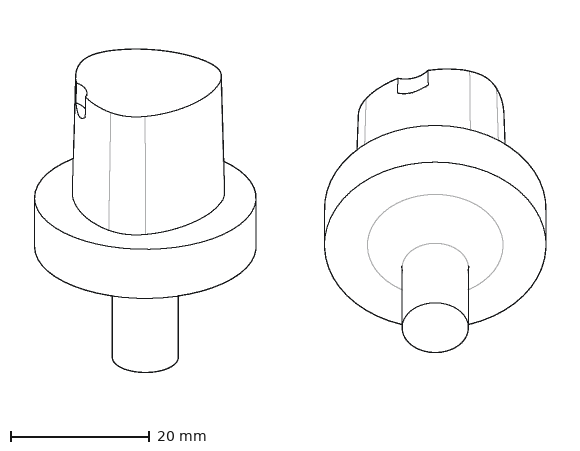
import cadquery as cq
import math

TOTAL_HEIGHT = 45.0
SHANK_HEIGHT = 19.0
FLANGE_THICKNESS = 8.0
FLANGE_DIAMETER = 32.0
STEM_DIAMETER = 9.6
NECK_FILLET = 5.0

FLANGE_TOP = TOTAL_HEIGHT - SHANK_HEIGHT
FLANGE_BOTTOM = FLANGE_TOP - FLANGE_THICKNESS

LOBE_REACH = 11.7
FLAT_REACH = 10.3
BASE_WIDTH = LOBE_REACH + FLAT_REACH
LOBE_OFFSET = (LOBE_REACH - FLAT_REACH) / 2
TAPER = 1 / 20
TOP_WIDTH = BASE_WIDTH - SHANK_HEIGHT * TAPER
LOBE_COUNT = 3
FIRST_LOBE_ANGLE = 90
LOBE_HALF_ANGLE = 24
CURVE_SPANS = 8

NOTCH_RADIUS = 4.0
NOTCH_DEPTH = 3.3
NOTCH_INNER_REACH = 8.95
NOTCH_TIP_HALF_ANGLE = 45


def lobed_point(width, normal_angle):
    """Point of a constant-width trilobe where the outward normal has the given angle."""
    phase = LOBE_COUNT * math.radians(normal_angle - FIRST_LOBE_ANGLE)
    reach = width / 2 + LOBE_OFFSET * math.cos(phase)
    slide = -LOBE_COUNT * LOBE_OFFSET * math.sin(phase)
    angle = math.radians(normal_angle)
    x = reach * math.cos(angle) - slide * math.sin(angle)
    y = reach * math.sin(angle) + slide * math.cos(angle)
    return x, y


def lobed_edge(width, z, start_angle, end_angle):
    """Smooth stretch of the trilobe between two normal angles."""
    step = (end_angle - start_angle) / CURVE_SPANS
    points = []
    for i in range(CURVE_SPANS + 1):
        x, y = lobed_point(width, start_angle + i * step)
        points.append(cq.Vector(x, y, z))
    tangents = []
    for angle in (start_angle, end_angle):
        radians = math.radians(angle)
        tangents.append(cq.Vector(-math.sin(radians), math.cos(radians), 0))
    return cq.Edge.makeSpline(points, tangents=tangents)


def lobed_wire(width, z):
    """Closed trilobe made of alternating lobes and flats."""
    pitch = 360 / LOBE_COUNT
    edges = []
    for i in range(LOBE_COUNT):
        crest = FIRST_LOBE_ANGLE + i * pitch
        lobe_start = crest - LOBE_HALF_ANGLE
        lobe_end = crest + LOBE_HALF_ANGLE
        edges.append(lobed_edge(width, z, lobe_start, lobe_end))
        edges.append(lobed_edge(width, z, lobe_end, lobe_start + pitch))
    return cq.Wire.assembleEdges(edges)


def make_shank():
    base = lobed_wire(BASE_WIDTH, FLANGE_TOP)
    top = lobed_wire(TOP_WIDTH, TOTAL_HEIGHT)
    return cq.Workplane(obj=cq.Solid.makeLoft([base, top], True))


def make_stem_and_flange():
    """Turned body: stem, concave neck fillet and flange."""
    stem_radius = STEM_DIAMETER / 2
    flange_radius = FLANGE_DIAMETER / 2
    neck_radius = stem_radius + NECK_FILLET
    neck_bottom = FLANGE_BOTTOM - NECK_FILLET
    arc_mid = (
        neck_radius - NECK_FILLET * math.cos(math.pi / 4),
        neck_bottom + NECK_FILLET * math.sin(math.pi / 4),
    )
    return (
        cq.Workplane("XZ")
        .lineTo(stem_radius, 0)
        .lineTo(stem_radius, neck_bottom)
        .threePointArc(arc_mid, (neck_radius, FLANGE_BOTTOM))
        .lineTo(flange_radius, FLANGE_BOTTOM)
        .lineTo(flange_radius, FLANGE_TOP)
        .lineTo(0, FLANGE_TOP)
        .close()
        .revolve(360, (0, 0), (0, 1))
    )


def make_notch_cutter():
    """Drill shape: a cylinder with a conical tip, parallel to Z."""
    rim_z = TOTAL_HEIGHT - NOTCH_DEPTH
    tip_z = rim_z - NOTCH_RADIUS / math.tan(math.radians(NOTCH_TIP_HALF_ANGLE))
    drill = (
        cq.Workplane("XZ")
        .moveTo(0, tip_z)
        .lineTo(NOTCH_RADIUS, rim_z)
        .lineTo(NOTCH_RADIUS, TOTAL_HEIGHT)
        .lineTo(0, TOTAL_HEIGHT)
        .close()
        .revolve(360, (0, 0), (0, 1))
    )
    return drill.translate((0, -NOTCH_INNER_REACH - NOTCH_RADIUS, 0))


shank = make_shank().cut(make_notch_cutter())
result = make_stem_and_flange().union(shank)